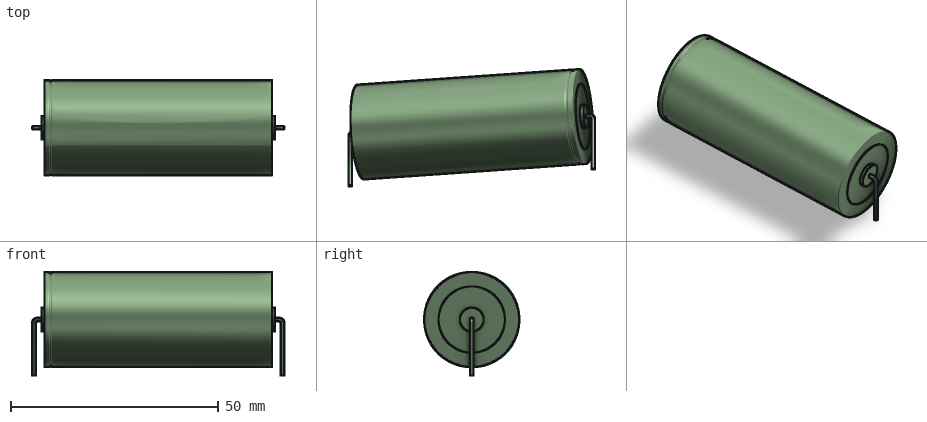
import math
import cadquery as cq

body_diameter = 23.0
body_length = 55.0
end_fillet = 0.2
end_recess_diameter = 16.0
end_recess_depth = 0.1

groove_center = 1.57
groove_width = 1.0
groove_depth = 0.2
hollow_width = 0.56

stripe_angle = 45.0
mark_length = body_length / 6
mark_width = 2.4
mark_offset = body_length / 6
mark_depth = 1.0

boss_diameter = 5.75
boss_height = 0.7
wire_diameter = 0.9
wire_spacing = 60.0
wire_bend_radius = 0.9
wire_bottom = -13.5

body_radius = body_diameter / 2
half_length = body_length / 2
recess_radius = end_recess_diameter / 2
recess_floor = half_length - end_recess_depth


def shell_profile():
    """Section of the shell around the core, drawn above the X axis."""
    fillet_corner = end_fillet * (1 - math.sqrt(0.5))
    groove_x = -half_length + groove_center
    groove_start = groove_x - groove_width / 2
    groove_end = groove_x + groove_width / 2
    hollow_start = groove_x - hollow_width / 2
    hollow_end = groove_x + hollow_width / 2
    arc_angle = 2 * math.atan(2 * groove_depth / groove_width)
    lip_width = (groove_width - hollow_width) / 2
    lip_drop = lip_width * math.tan(arc_angle / 2)
    return (
        cq.Workplane("XZ")
        .moveTo(-half_length, recess_radius)
        .lineTo(-half_length, body_radius - end_fillet)
        .threePointArc(
            (-half_length + fillet_corner, body_radius - fillet_corner),
            (-half_length + end_fillet, body_radius),
        )
        .lineTo(groove_start, body_radius)
        .tangentArcPoint((hollow_start, body_radius - lip_drop), relative=False)
        .threePointArc(
            (groove_x, body_radius - groove_depth),
            (hollow_end, body_radius - lip_drop),
        )
        .tangentArcPoint((groove_end, body_radius), relative=False)
        .lineTo(half_length - end_fillet, body_radius)
        .threePointArc(
            (half_length - fillet_corner, body_radius - fillet_corner),
            (half_length, body_radius - end_fillet),
        )
        .lineTo(half_length, recess_radius)
        .close()
    )


def shell_sector(start_angle, sweep_angle):
    """Part of the shell swept about X, with angles measured from +Z."""
    sector = shell_profile().revolve(sweep_angle, (0, 0, 0), (1, 0, 0))
    return sector.rotate((0, 0, 0), (1, 0, 0), start_angle)


def mark_prism():
    """Upright slot-shaped prisms that bound the two minus marks."""
    return (
        cq.Workplane("XY")
        .workplane(offset=body_radius - mark_depth)
        .pushPoints([(-mark_offset, 0), (mark_offset, 0)])
        .slot2D(mark_length, mark_width)
        .extrude(2 * mark_depth)
    )


def core():
    """Solid filling of the shell, sunk slightly below both end faces."""
    return (
        cq.Workplane("YZ", origin=(-recess_floor, 0, 0))
        .circle(recess_radius)
        .extrude(2 * recess_floor)
    )


def can():
    """Can whose stripe and minus marks are flush, separate faces."""
    stripe = shell_sector(-stripe_angle / 2, stripe_angle)
    sleeve = shell_sector(stripe_angle / 2, 360 - stripe_angle)
    marks = stripe.intersect(mark_prism())
    body = stripe.cut(mark_prism())
    for piece in (marks, sleeve, core()):
        body = body.union(piece, clean=False)
    return body


def terminal():
    """Insulating boss and bent wire on the +X end."""
    boss = (
        cq.Workplane("YZ", origin=(recess_floor, 0, 0))
        .circle(boss_diameter / 2)
        .extrude(end_recess_depth + boss_height)
    )
    leg_x = wire_spacing / 2
    bend_start = leg_x - wire_bend_radius
    path = (
        cq.Workplane("XZ")
        .moveTo(half_length, 0)
        .lineTo(bend_start, 0)
        .tangentArcPoint((leg_x, -wire_bend_radius), relative=False)
        .lineTo(leg_x, wire_bottom)
    )
    wire = (
        cq.Workplane("YZ", origin=(half_length, 0, 0))
        .circle(wire_diameter / 2)
        .sweep(path)
    )
    return boss.union(wire)


right_terminal = terminal()
left_terminal = right_terminal.mirror("YZ")
capacitor = can().union(right_terminal, clean=False).union(left_terminal, clean=False)
result = capacitor.solids()